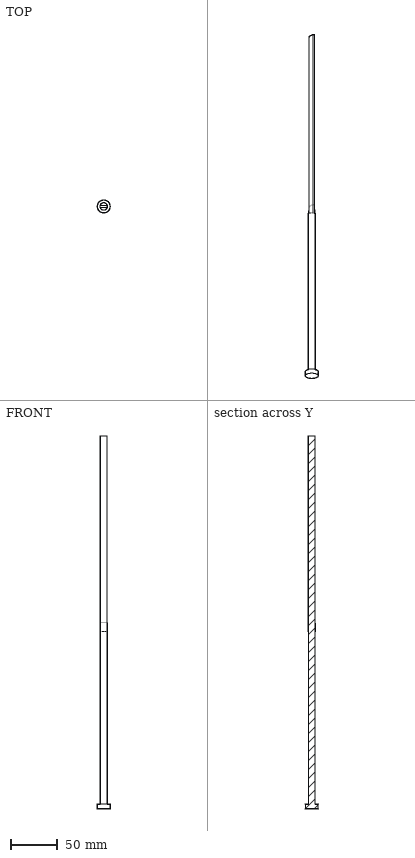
import cadquery as cq
import math

total_length = 400.0
head_diameter = 14.0
head_height = 5.0
shaft_diameter = 8.0
blade_width = 7.5
blade_thickness = 2.0
blade_length = 200.0
transition_length = 10.0

blade_start = total_length - blade_length
shaft_end = blade_start - transition_length


def make_round_body():
    """Head with its underside on Z = 0 and the shaft rising from it."""
    head = cq.Workplane("XY").circle(head_diameter / 2).extrude(head_height)
    shaft = cq.Workplane("XY").circle(shaft_diameter / 2).extrude(shaft_end)
    return head.union(shaft)


def make_transition():
    """Blend from the round shaft to the rectangular blade section.

    The round end is split into four arcs, one for each side of the blade.
    """
    radius = shaft_diameter / 2
    corner_angle = math.atan2(blade_thickness, blade_width)
    corner_x = radius * math.cos(corner_angle)
    corner_y = radius * math.sin(corner_angle)
    return (
        cq.Workplane("XY", origin=(0, 0, shaft_end))
        .moveTo(-corner_x, -corner_y)
        .threePointArc((0, -radius), (corner_x, -corner_y))
        .threePointArc((radius, 0), (corner_x, corner_y))
        .threePointArc((0, radius), (-corner_x, corner_y))
        .threePointArc((-radius, 0), (-corner_x, -corner_y))
        .close()
        .workplane(offset=transition_length)
        .rect(blade_width, blade_thickness)
        .loft(ruled=True)
    )


def make_blade():
    """Thin rectangular blade reaching the tip of the pin."""
    return (
        cq.Workplane("XY", origin=(0, 0, blade_start))
        .rect(blade_width, blade_thickness)
        .extrude(blade_length)
    )


result = make_round_body().union(make_transition()).union(make_blade())